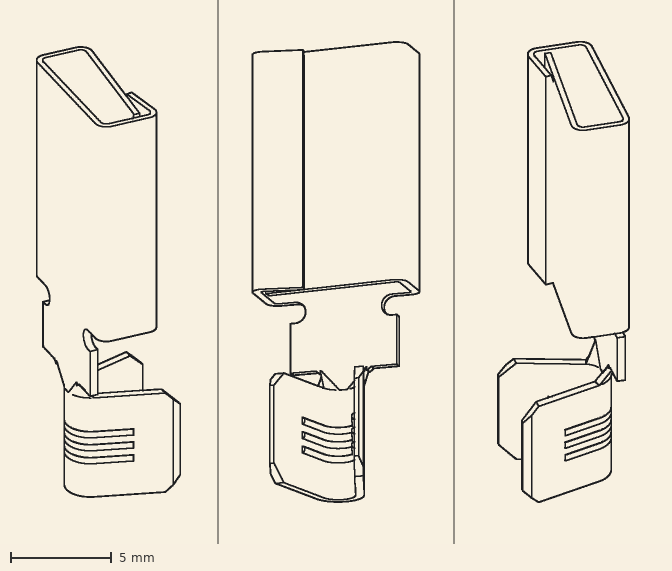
import cadquery as cq
import math

SHEET = 0.43
TOTAL_HEIGHT = 22.61
TOTAL_DEPTH = 5.16

BOX_HALF_WIDTH = 7.98 / 2
BOX_BOTTOM = 10.37
BEND_RADIUS = 0.6
LEFT_TOP = 2.96
RIGHT_TOP = 3.29
LONG_FLAP_TILT = 4.5
SHORT_FLAP_TILT = 9.0
LONG_FLAP_END_X = 3.40
SHORT_FLAP_END_X = 1.30
LEAD_IN_WIDTH = 0.13
LEAD_IN_HEIGHT = 0.45

STRAP_HALF_WIDTH = 2.77
STRAP_BOTTOM = 6.74
NOTCH_TOP = BOX_BOTTOM
NOTCH_RADIUS = 0.535
NOTCH_CENTER_X = 2.52

BARREL_HEIGHT = 5.65
BARREL_RADIUS = 1.3
WING_TILT = 17.1
WING_BEVEL_LENGTH = 0.43
WING_TIP_THICKNESS = 0.22
WING_CORNER = 0.82

NECK_HALF_WIDTH = 1.22
NECK_FOOT_HALF_WIDTH = 1.45
NECK_FOOT_HEIGHT = 0.18
NECK_EDGE_LAND = 0.04
NECK_FLAT_HALF_WIDTH = 0.2

SERRATION_COUNT = 3
SERRATION_FIRST_Z = 2.07
SERRATION_PITCH = 0.74
SERRATION_RADIUS = 0.17
SERRATION_END_Y = 2.83


def polar(center, radius, angle):
    """Point at a distance and an angle in degrees from a center."""
    turn = math.radians(angle)
    return (center[0] + radius * math.cos(turn), center[1] + radius * math.sin(turn))


def add_arc(outline, center, radius, start, end):
    """Extend an outline with a line to the start of an arc, then the arc itself."""
    return (
        outline.lineTo(*polar(center, radius, start))
        .threePointArc(polar(center, radius, (start + end) / 2), polar(center, radius, end))
    )


def box_section(z, thickness):
    """Closed outline of the rolled box wall, with a fixed outer side."""
    bend_x = BOX_HALF_WIDTH - BEND_RADIUS
    bends = [
        ((bend_x, RIGHT_TOP - BEND_RADIUS), 90 + SHORT_FLAP_TILT, 0),
        ((bend_x, BEND_RADIUS), 0, -90),
        ((-bend_x, BEND_RADIUS), -90, -180),
        ((-bend_x, LEFT_TOP - BEND_RADIUS), 180, 90 - LONG_FLAP_TILT),
    ]
    inner_radius = BEND_RADIUS - thickness

    short_center, short_angle, _ = bends[0]
    short_start = polar(short_center, BEND_RADIUS, short_angle)
    short_length = (short_start[0] - SHORT_FLAP_END_X) / math.cos(math.radians(SHORT_FLAP_TILT))
    short_outer = polar(short_start, short_length, 180 + SHORT_FLAP_TILT)
    short_inner = polar(short_outer, -thickness, short_angle)

    long_center, _, long_angle = bends[-1]
    long_start = polar(long_center, BEND_RADIUS, long_angle)
    long_length = (LONG_FLAP_END_X - long_start[0]) / math.cos(math.radians(LONG_FLAP_TILT))
    long_outer = polar(long_start, long_length, -LONG_FLAP_TILT)
    long_inner = polar(long_outer, -thickness, long_angle)

    outline = cq.Workplane("XY", origin=(0, 0, z)).moveTo(*short_outer)
    for center, start, end in bends:
        outline = add_arc(outline, center, BEND_RADIUS, start, end)
    outline = outline.lineTo(*long_outer).lineTo(*long_inner)
    for center, start, end in reversed(bends):
        outline = add_arc(outline, center, inner_radius, end, start)
    return outline.lineTo(*short_inner).close()


def ruled_solid(lower, upper):
    """Solid with straight rulings between two closed outlines."""
    return cq.Workplane(cq.Solid.makeLoft([lower.val(), upper.val()], True))


def make_box():
    lead_in_start = TOTAL_HEIGHT - LEAD_IN_HEIGHT
    wall = box_section(BOX_BOTTOM, SHEET).extrude(lead_in_start - BOX_BOTTOM)
    mouth = ruled_solid(
        box_section(lead_in_start, SHEET),
        box_section(TOTAL_HEIGHT, SHEET - LEAD_IN_WIDTH),
    )
    return wall.union(mouth)


def plate(points):
    """Flat sheet from an outline in X and Z, with its outer face at Y = 0."""
    return cq.Workplane("XZ").polyline(points).close().extrude(-SHEET)


def make_strap():
    strap = plate([
        (-STRAP_HALF_WIDTH, STRAP_BOTTOM),
        (STRAP_HALF_WIDTH, STRAP_BOTTOM),
        (STRAP_HALF_WIDTH, BOX_BOTTOM),
        (-STRAP_HALF_WIDTH, BOX_BOTTOM),
    ])
    notch_z = NOTCH_TOP - NOTCH_RADIUS
    for side in (-1, 1):
        notch = (
            cq.Workplane("XZ")
            .center(side * NOTCH_CENTER_X, notch_z)
            .circle(NOTCH_RADIUS)
            .extrude(-SHEET)
        )
        mouth = (
            cq.Workplane("XZ")
            .center(side * (NOTCH_CENTER_X + NOTCH_RADIUS), notch_z)
            .rect(2 * NOTCH_RADIUS, 2 * NOTCH_RADIUS)
            .extrude(-SHEET)
        )
        strap = strap.cut(notch).cut(mouth)
    return strap


BARREL_CENTER = (0, BARREL_RADIUS)
INNER_RADIUS = BARREL_RADIUS - SHEET
RIGHT_TANGENT = -WING_TILT
LEFT_TANGENT = WING_TILT - 180


def wing_point(radius, y):
    """Point at height y on the right wing line tangent to the given barrel radius."""
    start = polar(BARREL_CENTER, radius, RIGHT_TANGENT)
    return (start[0] + (y - start[1]) * math.tan(math.radians(WING_TILT)), y)


def mirrored(point):
    return (-point[0], point[1])


def make_barrel():
    inner_tip = wing_point(INNER_RADIUS, TOTAL_DEPTH)
    outer_tip = (inner_tip[0] + WING_TIP_THICKNESS, TOTAL_DEPTH)
    bevel_start = wing_point(BARREL_RADIUS, TOTAL_DEPTH - WING_BEVEL_LENGTH)

    outline = cq.Workplane("XY").moveTo(*inner_tip).lineTo(*outer_tip).lineTo(*bevel_start)
    outline = add_arc(outline, BARREL_CENTER, BARREL_RADIUS, RIGHT_TANGENT, LEFT_TANGENT)
    outline = outline.lineTo(*mirrored(bevel_start)).lineTo(*mirrored(outer_tip))
    outline = outline.lineTo(*mirrored(inner_tip))
    outline = add_arc(outline, BARREL_CENTER, INNER_RADIUS, LEFT_TANGENT, RIGHT_TANGENT)
    barrel = outline.close().extrude(BARREL_HEIGHT)

    side_shape = (
        cq.Workplane("YZ")
        .polyline([
            (0, 0),
            (TOTAL_DEPTH - WING_CORNER, 0),
            (TOTAL_DEPTH, WING_CORNER),
            (TOTAL_DEPTH, BARREL_HEIGHT - WING_CORNER),
            (TOTAL_DEPTH - WING_CORNER, BARREL_HEIGHT),
            (0, BARREL_HEIGHT),
        ])
        .close()
        .extrude(BOX_HALF_WIDTH, both=True)
    )
    return barrel.intersect(side_shape)


def serration_bar(radius, z):
    """Round bar bent along the barrel surface of the given radius."""
    end = wing_point(radius, SERRATION_END_Y)
    path = cq.Workplane("XY", origin=(0, 0, z)).moveTo(*end)
    path = add_arc(path, BARREL_CENTER, radius, RIGHT_TANGENT, LEFT_TANGENT)
    path = path.lineTo(*mirrored(end))
    wing_direction = (math.sin(math.radians(WING_TILT)), math.cos(math.radians(WING_TILT)), 0)
    start_plane = cq.Plane(origin=(*end, z), xDir=(0, 0, 1), normal=wing_direction)
    return cq.Workplane(start_plane).circle(SERRATION_RADIUS).sweep(path)


def press_serrations(barrel):
    """Groove on the outside and a matching ridge on the inside."""
    for index in range(SERRATION_COUNT):
        z = SERRATION_FIRST_Z + index * SERRATION_PITCH
        barrel = barrel.union(serration_bar(INNER_RADIUS, z))
        barrel = barrel.cut(serration_bar(BARREL_RADIUS, z))
    return barrel


def barrel_end_section():
    """U of the barrel without wings, with a narrow flat at the bottom."""
    outline = cq.Workplane("XY", origin=(0, 0, BARREL_HEIGHT))
    outline = outline.moveTo(*polar(BARREL_CENTER, INNER_RADIUS, RIGHT_TANGENT))
    outer_half = math.degrees(math.asin(NECK_FLAT_HALF_WIDTH / BARREL_RADIUS))
    inner_half = math.degrees(math.asin(NECK_FLAT_HALF_WIDTH / INNER_RADIUS))
    outline = add_arc(outline, BARREL_CENTER, BARREL_RADIUS, RIGHT_TANGENT, -90 + outer_half)
    outline = add_arc(outline, BARREL_CENTER, BARREL_RADIUS, -90 - outer_half, LEFT_TANGENT)
    outline = add_arc(outline, BARREL_CENTER, INNER_RADIUS, LEFT_TANGENT, -90 - inner_half)
    outline = add_arc(outline, BARREL_CENTER, INNER_RADIUS, -90 + inner_half, RIGHT_TANGENT)
    return outline.close()


def make_neck():
    crease = NECK_HALF_WIDTH - NECK_EDGE_LAND
    flat_end = (
        cq.Workplane("XY", origin=(0, 0, STRAP_BOTTOM))
        .polyline([
            (NECK_HALF_WIDTH, SHEET),
            (NECK_HALF_WIDTH, 0),
            (crease, 0),
            (-crease, 0),
            (-NECK_HALF_WIDTH, 0),
            (-NECK_HALF_WIDTH, SHEET),
            (-crease, SHEET),
            (crease, SHEET),
        ])
        .close()
    )
    neck = ruled_solid(barrel_end_section(), flat_end)
    for side in (-1, 1):
        gusset = plate([
            (side * crease, STRAP_BOTTOM),
            (side * NECK_HALF_WIDTH, STRAP_BOTTOM - NECK_FOOT_HEIGHT),
            (side * NECK_FOOT_HALF_WIDTH, STRAP_BOTTOM),
        ])
        neck = neck.union(gusset)
    return neck


barrel = press_serrations(make_barrel())
result = make_box().union(make_strap()).union(make_neck()).union(barrel)